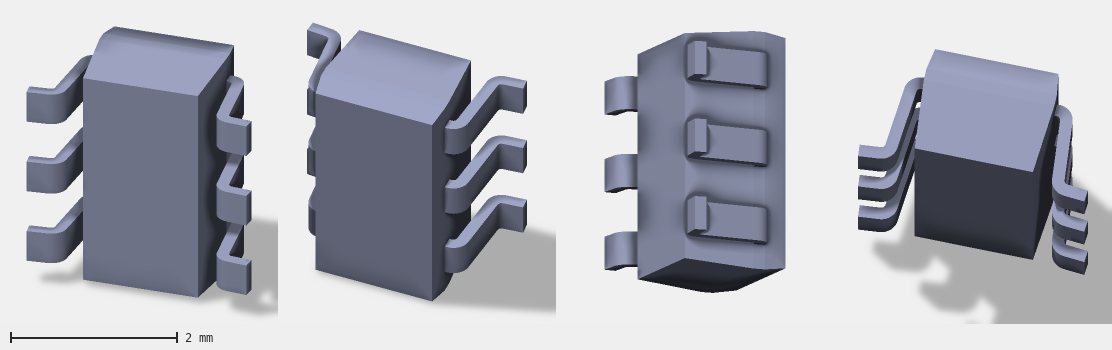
import cadquery as cq
import math


overall_span = 2.8
overall_height = 1.45
housing_length = 2.9

housing_width = 1.6
standoff = 0.15
upper_height = 0.287
upper_inset = 0.044
lower_draft = math.radians(5.0)

lead_thickness = 0.15
lead_width = 0.403
lead_pitch = 0.948
leads_per_side = 3
inner_radius = 0.05
foot_length = 0.258
leg_slope = math.radians(85.0)
foot_slope = math.radians(5.0)

outer_radius = inner_radius + lead_thickness
band_top = overall_height - upper_height
band_bottom = band_top - lead_thickness
lower_inset = (band_bottom - standoff) * math.tan(lower_draft)


def housing_slab(start_y, end_y, end_inset):
    """Full-size rectangle at start_y, drawn in by end_inset on every side at end_y."""
    return (
        cq.Workplane("XZ", origin=(0, start_y, 0))
        .rect(housing_width, housing_length)
        .workplane(offset=start_y - end_y)
        .rect(housing_width - 2 * end_inset, housing_length - 2 * end_inset)
        .loft(ruled=True)
    )


def make_housing():
    band = housing_slab(band_top, band_bottom, 0)
    upper_block = housing_slab(band_top, overall_height, upper_inset)
    lower_block = housing_slab(band_bottom, standoff, lower_inset)
    return band.union(upper_block).union(lower_block)


def around(center, radius, slope):
    """Point on a bend circle where the outward normal belongs to a run of this slope."""
    return (center[0] + radius * math.sin(slope), center[1] + radius * math.cos(slope))


def make_lead():
    """Right-hand lead at mid-length, with its root flat against the housing side."""
    root_x = housing_width / 2
    toe_top_x = overall_span / 2
    mid_slope = (leg_slope + foot_slope) / 2

    toe_top = (toe_top_x, lead_thickness * math.cos(foot_slope))
    toe_bottom = (toe_top_x - lead_thickness * math.sin(foot_slope), 0)
    lower_center = (
        toe_top[0] - foot_length * math.cos(foot_slope) + inner_radius * math.sin(foot_slope),
        toe_top[1] + foot_length * math.sin(foot_slope) + inner_radius * math.cos(foot_slope),
    )

    upper_center_y = band_top - outer_radius
    center_drop = upper_center_y - lower_center[1]
    center_gap = inner_radius + outer_radius
    center_offset = (center_gap + center_drop * math.cos(leg_slope)) / math.sin(leg_slope)
    upper_center = (lower_center[0] - center_offset, upper_center_y)

    profile = (
        cq.Workplane("XY", origin=(0, 0, -lead_width / 2))
        .moveTo(root_x, band_top)
        .lineTo(*around(upper_center, outer_radius, 0))
        .threePointArc(
            around(upper_center, outer_radius, leg_slope / 2),
            around(upper_center, outer_radius, leg_slope),
        )
        .lineTo(*around(lower_center, -inner_radius, leg_slope))
        .threePointArc(
            around(lower_center, -inner_radius, mid_slope),
            around(lower_center, -inner_radius, foot_slope),
        )
        .lineTo(*toe_top)
        .lineTo(*toe_bottom)
        .lineTo(*around(lower_center, -outer_radius, foot_slope))
        .threePointArc(
            around(lower_center, -outer_radius, mid_slope),
            around(lower_center, -outer_radius, leg_slope),
        )
        .lineTo(*around(upper_center, inner_radius, leg_slope))
        .threePointArc(
            around(upper_center, inner_radius, leg_slope / 2),
            around(upper_center, inner_radius, 0),
        )
        .lineTo(root_x, band_bottom)
        .close()
    )
    return profile.extrude(lead_width)


def make_leads():
    right_lead = make_lead()
    left_lead = right_lead.mirror("YZ")
    leads = []
    for index in range(leads_per_side):
        z = (index - (leads_per_side - 1) / 2) * lead_pitch
        for lead in (right_lead, left_lead):
            leads.append(lead.translate((0, 0, z)).val())
    return leads


housing = make_housing()
leads = make_leads()
result = cq.Compound.makeCompound([housing.val(), *leads])